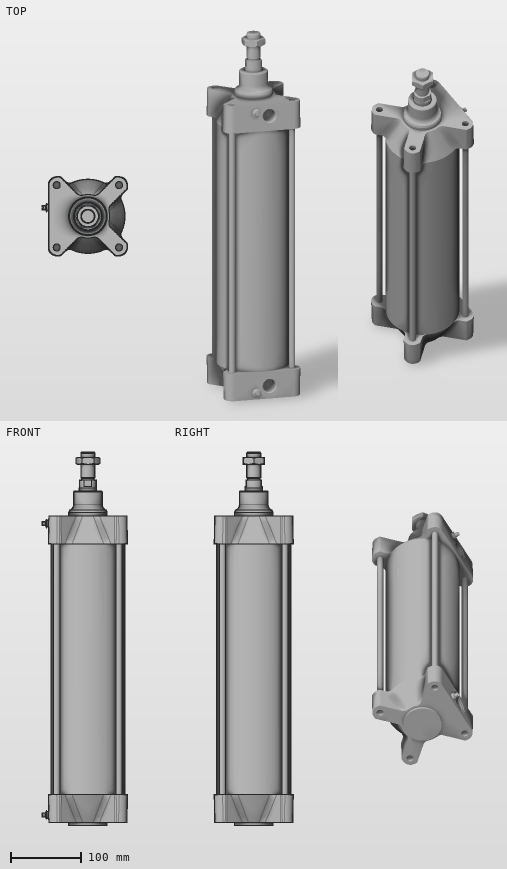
import cadquery as cq
import math


spigot_diameter = 55.0
spigot_height = 4.0
cap_height = 40.0
tube_length = 358.0
tube_diameter = 106.0
rear_cap_inner_z = spigot_height + cap_height
front_cap_inner_z = rear_cap_inner_z + tube_length
mounting_face_z = front_cap_inner_z + cap_height
mid_z = (rear_cap_inner_z + front_cap_inner_z) / 2

cap_width = 113.0
cap_corner_radius = 12.0
draft_angle = 1.0
arm_half_width = 11.7
arm_shoulder_radius = 3.5
pocket_floor_fillet = 8.0
pocket_floor_face_radius = 31.0
edge_margin = 1.0
shoulder_search = 2.5
pocket_angles = (0, -90, 180)

tie_rod_spacing = 89.0
tie_rod_diameter = 8.9
socket_diameter = 10.0
socket_depth = 12.0

port_y = -8.2
port_below_face = 18.4
port_seat_diameter = 27.0
port_seat_depth = 1.0
port_mouth_diameter = 21.0
port_bore_diameter = 18.6
port_depth = 20.0
screw_y = 12.2
screw_below_face = 11.1
screw_tip_x = -65.5
screw_head_diameter = 6.0
screw_head_length = 5.0
screw_cone_length = 1.3
screw_flange_diameter = 12.0
screw_collar_diameter = 10.0
screw_root_x = -50.0
screw_slot_width = 2.0
screw_slot_depth = 1.5

gland_base_height = 5.0
gland_shoulder_height = 8.0
gland_shoulder_radius = 26.2
gland_neck_diameter = 41.0
gland_neck_start = 16.0
gland_height = 35.5
gland_rim_chamfer = 1.2
wiper_recess_diameter = 27.0
wiper_recess_depth = 2.0

rod_diameter = 25.0
rod_shoulder_height = 51.0
rod_nose_diameter = 24.5
rod_nose_start = 40.0
rod_flat_width = 22.0
rod_flat_start = 41.5
undercut_diameter = 18.0
undercut_length = 2.5
thread_diameter = 20.0
thread_length = 40.0
thread_chamfer_radial = 0.9
thread_chamfer_length = 1.8
thread_end_chamfer = 0.9
rod_shoulder_z = mounting_face_z + rod_shoulder_height
rod_tip_z = rod_shoulder_z + thread_length

nut_across_flats = 30.0
nut_height = 10.0
nut_below_tip = 7.5
nut_chamfer_angle = 30.0


def vertical_cylinder(diameter, z_start, z_end):
    return cq.Workplane("XY").workplane(offset=z_start).circle(diameter / 2).extrude(z_end - z_start)


def four_vertical_cylinders(diameter, z_start, z_end):
    """One cylinder at each tie rod."""
    return (
        cq.Workplane("XY").workplane(offset=z_start)
        .rect(tie_rod_spacing, tie_rod_spacing, forConstruction=True).vertices()
        .circle(diameter / 2).extrude(z_end - z_start)
    )


def pocket():
    """V-shaped pocket opening to +Y, between two arms, with a conical floor."""
    reach = cap_width
    apex_y = arm_half_width * math.sqrt(2)
    wedge = (
        cq.Workplane("XY").workplane(offset=cap_height)
        .polyline([(0, apex_y), (-reach, apex_y + reach), (reach, apex_y + reach)]).close()
        .extrude(-cap_height, taper=draft_angle)
    )
    floor_cone = cq.Workplane("XY").add(
        cq.Solid.makeCone(tube_diameter / 2, pocket_floor_face_radius, cap_height)
    )
    floor_edges = cq.selectors.BoxSelector(
        (-tube_diameter / 2, 0, edge_margin),
        (tube_diameter / 2, tube_diameter / 2, cap_height - edge_margin),
    )
    return wedge.cut(floor_cone).edges(floor_edges).fillet(pocket_floor_fillet)


def arm_shoulder_edges(angle):
    """Selector for the two edges where a pocket's walls meet the side of the cap."""
    half_width = cap_width / 2
    middle = half_width - arm_half_width * math.sqrt(2)
    direction = math.radians(angle)
    selectors = []
    for side in (-1, 1):
        x = side * middle * math.cos(direction) - half_width * math.sin(direction)
        y = side * middle * math.sin(direction) + half_width * math.cos(direction)
        selectors.append(
            cq.selectors.BoxSelector(
                (x - shoulder_search, y - shoulder_search, edge_margin),
                (x + shoulder_search, y + shoulder_search, cap_height - edge_margin),
            )
        )
    return selectors[0] + selectors[1]


def cap_plate():
    """Drafted square plate, largest on the tube side, with round corners and three pockets."""
    plate = cq.Workplane("XY").rect(cap_width, cap_width).extrude(cap_height, taper=draft_angle)
    plate = plate.edges("not(|X or |Y)").fillet(cap_corner_radius)
    for angle in pocket_angles:
        plate = plate.cut(pocket().rotate((0, 0, 0), (0, 0, 1), angle))
    for angle in pocket_angles:
        plate = plate.edges(arm_shoulder_edges(angle)).fillet(arm_shoulder_radius)
    return plate


def port():
    """Stepped blind hole running in from the -X side, with a conical mouth."""
    seat_end = port_seat_depth
    cone_end = seat_end + (port_mouth_diameter - port_bore_diameter) / 2
    outline = [
        (-port_seat_depth, 0),
        (-port_seat_depth, port_seat_diameter / 2),
        (seat_end, port_seat_diameter / 2),
        (seat_end, port_mouth_diameter / 2),
        (cone_end, port_bore_diameter / 2),
        (port_depth, port_bore_diameter / 2),
        (port_depth, 0),
    ]
    hole = cq.Workplane("XZ").polyline(outline).close().revolve(360, (0, 0), (1, 0))
    face_x = -cap_width / 2 + math.tan(math.radians(draft_angle)) * (cap_height - port_below_face)
    return hole.translate((face_x, port_y, cap_height - port_below_face))


def cushion_screw():
    """Slotted adjusting screw standing out of the -X side."""
    cone_start = screw_tip_x + screw_head_length
    flange_x = cone_start + screw_cone_length
    outline = [
        (screw_tip_x, 0),
        (screw_tip_x, screw_head_diameter / 2),
        (cone_start, screw_head_diameter / 2),
        (flange_x, screw_flange_diameter / 2),
        (flange_x, screw_collar_diameter / 2),
        (screw_root_x, screw_collar_diameter / 2),
        (screw_root_x, 0),
    ]
    screw = cq.Workplane("XZ").polyline(outline).close().revolve(360, (0, 0), (1, 0))
    slot = cq.Workplane("XY").box(2 * screw_slot_depth, screw_slot_width, 2 * screw_head_diameter)
    screw = screw.cut(slot.translate((screw_tip_x, 0, 0)))
    return screw.translate((0, screw_y, cap_height - screw_below_face))


def cap():
    sockets = four_vertical_cylinders(socket_diameter, cap_height - socket_depth, cap_height)
    return cap_plate().cut(sockets).cut(port()).union(cushion_screw())


def gland():
    """Turned nose that guides the rod; local Z = 0 on the mounting face."""
    base_radius = spigot_diameter / 2
    neck_radius = gland_neck_diameter / 2
    flare_height = gland_neck_start - gland_shoulder_height
    flare_reach = gland_shoulder_radius - neck_radius
    flare_radius = (flare_height**2 + flare_reach**2) / (2 * flare_reach)
    half_sweep = math.asin(flare_height / flare_radius) / 2
    flare_middle = (
        neck_radius + flare_radius * (1 - math.cos(half_sweep)),
        gland_neck_start - flare_radius * math.sin(half_sweep),
    )
    return (
        cq.Workplane("XZ").moveTo(0, 0)
        .lineTo(base_radius, 0)
        .lineTo(base_radius, gland_base_height)
        .lineTo(gland_shoulder_radius, gland_shoulder_height)
        .threePointArc(flare_middle, (neck_radius, gland_neck_start))
        .lineTo(neck_radius, gland_height - gland_rim_chamfer)
        .lineTo(neck_radius - gland_rim_chamfer, gland_height)
        .lineTo(0, gland_height)
        .close().revolve(360, (0, 0), (0, 1))
    )


def build_housing():
    gland_top_z = mounting_face_z + gland_height
    front_cap = cap().translate((0, 0, front_cap_inner_z))
    rear_cap = front_cap.mirror("XY", (0, 0, mid_z))
    body = vertical_cylinder(tube_diameter, rear_cap_inner_z, front_cap_inner_z)
    body = body.union(front_cap).union(rear_cap)
    body = body.union(four_vertical_cylinders(tie_rod_diameter, rear_cap_inner_z, front_cap_inner_z))
    body = body.union(vertical_cylinder(spigot_diameter, 0, spigot_height))
    body = body.union(gland().translate((0, 0, mounting_face_z)))
    body = body.cut(vertical_cylinder(rod_diameter, front_cap_inner_z, gland_top_z))
    return body.cut(vertical_cylinder(wiper_recess_diameter, gland_top_z - wiper_recess_depth, gland_top_z))


def build_piston_rod():
    thread_radius = thread_diameter / 2
    thread_start_z = rod_shoulder_z + undercut_length
    nose_start_z = mounting_face_z + rod_nose_start
    rod = vertical_cylinder(rod_diameter, front_cap_inner_z, nose_start_z)
    rod = rod.union(vertical_cylinder(rod_nose_diameter, nose_start_z, rod_shoulder_z))
    rod = rod.union(vertical_cylinder(undercut_diameter, rod_shoulder_z, thread_start_z))
    thread = (
        cq.Workplane("XZ")
        .polyline([
            (0, thread_start_z),
            (thread_radius - thread_end_chamfer, thread_start_z),
            (thread_radius, thread_start_z + thread_end_chamfer),
            (thread_radius, rod_tip_z - thread_chamfer_length),
            (thread_radius - thread_chamfer_radial, rod_tip_z),
            (0, rod_tip_z),
        ])
        .close().revolve(360, (0, 0), (0, 1))
    )
    rod = rod.union(thread)
    flats_start_z = mounting_face_z + rod_flat_start
    flats_length = rod_shoulder_z - flats_start_z
    for side in (-1, 1):
        cutter = cq.Workplane("XY").box(rod_diameter, rod_diameter, flats_length)
        cutter_y = side * (rod_flat_width + rod_diameter) / 2
        rod = rod.cut(cutter.translate((0, cutter_y, flats_start_z + flats_length / 2)))
    return rod


def build_lock_nut():
    """Hexagon nut with two corners on the X axis, its corners chamfered top and bottom."""
    face_radius = nut_across_flats / 2
    corner_radius = face_radius / math.cos(math.pi / 6)
    chamfer_height = (corner_radius - face_radius) * math.tan(math.radians(nut_chamfer_angle))
    hexagon = cq.Workplane("XY").polygon(6, 2 * corner_radius).extrude(nut_height)
    outline = [
        (0, 0),
        (face_radius, 0),
        (corner_radius, chamfer_height),
        (corner_radius, nut_height - chamfer_height),
        (face_radius, nut_height),
        (0, nut_height),
    ]
    chamfered_blank = cq.Workplane("XZ").polyline(outline).close().revolve(360, (0, 0), (0, 1))
    nut = hexagon.intersect(chamfered_blank).cut(vertical_cylinder(thread_diameter, 0, nut_height))
    return nut.translate((0, 0, rod_tip_z - nut_below_tip - nut_height))


housing = build_housing()
piston_rod = build_piston_rod()
lock_nut = build_lock_nut()
result = cq.Compound.makeCompound([housing.val(), piston_rod.val(), lock_nut.val()])